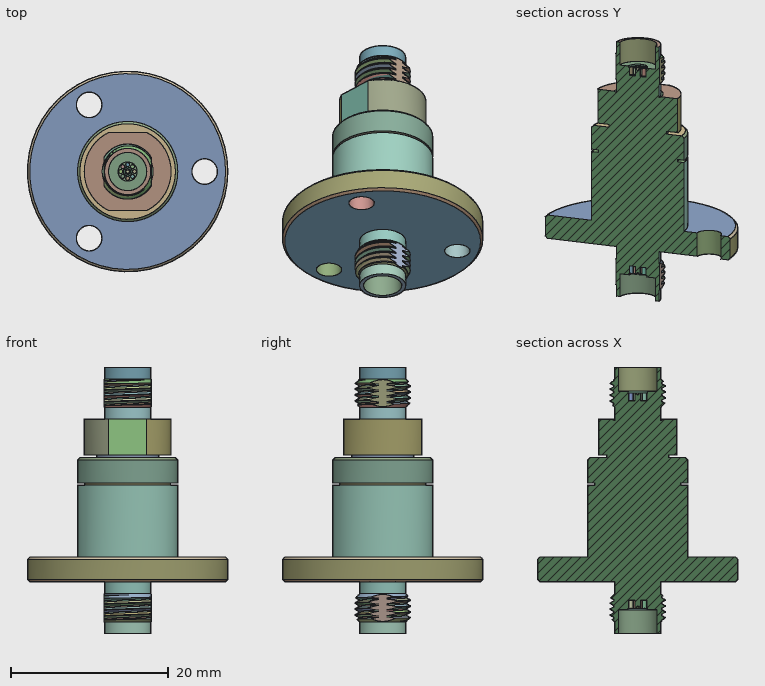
import cadquery as cq
import math

total_height = 33.7
connector_length = 6.55
flange_thickness = 3.15
body_height = 9.1
groove_height = 0.25
cap_height = 3.25
neck_height = 0.3

flange_bottom = connector_length
flange_top = flange_bottom + flange_thickness
body_top = flange_top + body_height
cap_bottom = body_top + groove_height
cap_top = cap_bottom + cap_height
nut_bottom = cap_top + neck_height
nut_top = total_height - connector_length

flange_diameter = 25.4
body_diameter = flange_diameter / 2
groove_diameter = 10.9
neck_diameter = 7.9
nut_diameter = 11.0
nut_across_flats = 9.9
edge_chamfer = 0.3

mount_hole_count = 3
mount_hole_diameter = 3.2
mount_circle_radius = 9.75

relief_diameter = 6.45
relief_depth = 0.15

barrel_diameter = 5.85
thread_major_diameter = 7.0
thread_root_diameter = 6.14
thread_pitch = 0.75
thread_length = 3.6
thread_across_flats = 6.04
thread_tip_gap = 1.45
thread_start_height = 3.07
flank_angle = 30.0
crest_width_ratio = 1 / 8
groove_overlap = 0.05

socket_diameter = 4.84
socket_depth = 3.0
bead_diameter = 2.43
bead_recess = 0.2
bead_hole_count = 8
bead_hole_diameter = 0.5
bead_hole_circle_radius = 0.87
bead_hole_depth = 1.0
contact_gap_diameter = 1.1
contact_diameter = 0.72
contact_mouth_diameter = 0.44
contact_cone_depth = 0.3


def cylinder(diameter, bottom, top):
    return cq.Workplane("XY").workplane(offset=bottom).circle(diameter / 2).extrude(top - bottom)


def make_flange():
    flange = cylinder(flange_diameter, flange_bottom, flange_top).edges().chamfer(edge_chamfer)
    holes = (
        cq.Workplane("XY")
        .workplane(offset=flange_bottom)
        .polarArray(mount_circle_radius, 0, 360, mount_hole_count)
        .circle(mount_hole_diameter / 2)
        .extrude(flange_thickness)
    )
    return flange.cut(holes)


def make_body():
    body = cylinder(body_diameter, flange_top, body_top)
    groove_core = cylinder(groove_diameter, body_top, cap_bottom)
    cap = cylinder(body_diameter, cap_bottom, cap_top).faces(">Z").edges().chamfer(edge_chamfer)
    neck = cylinder(neck_diameter, cap_top, nut_bottom)
    return body.union(groove_core).union(cap).union(neck)


def make_nut():
    nut_height = nut_top - nut_bottom
    flats = (
        cq.Workplane("XY")
        .workplane(offset=nut_bottom)
        .rect(nut_diameter, nut_across_flats)
        .extrude(nut_height)
    )
    relief = cq.Workplane(
        cq.Solid.makeCone(
            barrel_diameter / 2,
            relief_diameter / 2,
            relief_depth,
            pnt=cq.Vector(0, 0, nut_top - relief_depth),
        )
    )
    core = cylinder(barrel_diameter, nut_bottom, nut_top)
    return cylinder(nut_diameter, nut_bottom, nut_top).intersect(flats).cut(relief).union(core)


def make_thread_groove(first_root, turns):
    """Helical V-groove cutter whose centre crosses the -Y side at height first_root."""
    root_radius = thread_root_diameter / 2
    outer_radius = thread_major_diameter / 2 + groove_overlap
    crest_radius = thread_major_diameter / 2
    crest_half_gap = thread_pitch * (1 - crest_width_ratio) / 2
    flank_slope = math.tan(math.radians(flank_angle))
    outer_half_width = crest_half_gap + groove_overlap * flank_slope
    root_half_width = crest_half_gap - (crest_radius - root_radius) * flank_slope
    profile = (
        cq.Workplane("XZ")
        .moveTo(root_radius, -root_half_width)
        .lineTo(outer_radius, -outer_half_width)
        .lineTo(outer_radius, outer_half_width)
        .lineTo(root_radius, root_half_width)
        .close()
    )
    path = cq.Wire.makeHelix(thread_pitch, turns * thread_pitch, root_radius)
    groove = profile.sweep(cq.Workplane(path), isFrenet=True)
    return groove.rotate((0, 0, 0), (0, 0, 1), -90).translate((0, 0, first_root))


def make_thread():
    top = connector_length - thread_tip_gap
    bottom = top - thread_length
    barrel_radius = barrel_diameter / 2
    crest_radius = thread_major_diameter / 2
    limit_radius = crest_radius + groove_overlap
    chamfer = limit_radius - barrel_radius
    envelope = (
        cq.Workplane("XZ")
        .moveTo(0, bottom)
        .lineTo(barrel_radius, bottom)
        .lineTo(limit_radius, bottom + chamfer)
        .lineTo(limit_radius, top - chamfer)
        .lineTo(barrel_radius, top)
        .lineTo(0, top)
        .close()
        .revolve(360, (0, 0, 0), (0, 1, 0))
    )
    flats = (
        cq.Workplane("XY")
        .workplane(offset=bottom)
        .rect(thread_across_flats, 2 * limit_radius)
        .extrude(thread_length)
    )
    first_root = thread_start_height - thread_pitch / 2
    turns_below = math.ceil((first_root - bottom) / thread_pitch) + 1
    turns = math.ceil(thread_length / thread_pitch) + 3
    groove = make_thread_groove(first_root - turns_below * thread_pitch, turns)
    stock = cylinder(thread_major_diameter, bottom - thread_length, top + thread_length)
    return stock.cut(groove).intersect(envelope).intersect(flats)


def cut_socket(connector):
    floor = connector_length - socket_depth
    bead_face = floor - bead_recess
    hole_bottom = bead_face - bead_hole_depth
    holes = (
        cq.Workplane("XY")
        .workplane(offset=hole_bottom)
        .polarArray(bead_hole_circle_radius, 0, 360, bead_hole_count)
        .circle(bead_hole_diameter / 2)
        .extrude(bead_hole_depth)
    )
    contact_cone = cq.Workplane(
        cq.Solid.makeCone(
            0,
            contact_mouth_diameter / 2,
            contact_cone_depth,
            pnt=cq.Vector(0, 0, bead_face - contact_cone_depth),
        )
    )
    contact = cylinder(contact_diameter, hole_bottom, bead_face).cut(contact_cone)
    return (
        connector
        .cut(cylinder(socket_diameter, floor, connector_length))
        .cut(cylinder(bead_diameter, bead_face, floor))
        .cut(holes)
        .cut(cylinder(contact_gap_diameter, hole_bottom, bead_face))
        .union(contact)
    )


def make_connector():
    """Connector rooted at Z = 0 with its open tip pointing up."""
    barrel = cylinder(barrel_diameter, 0, connector_length)
    return cut_socket(barrel.union(make_thread()))


connector = make_connector()
upper_connector = connector.translate((0, 0, nut_top))
lower_connector = (
    connector
    .rotate((0, 0, 0), (1, 0, 0), 180)
    .translate((0, 0, flange_bottom))
)

result = (
    make_flange()
    .union(make_body())
    .union(make_nut())
    .union(upper_connector)
    .union(lower_connector)
)